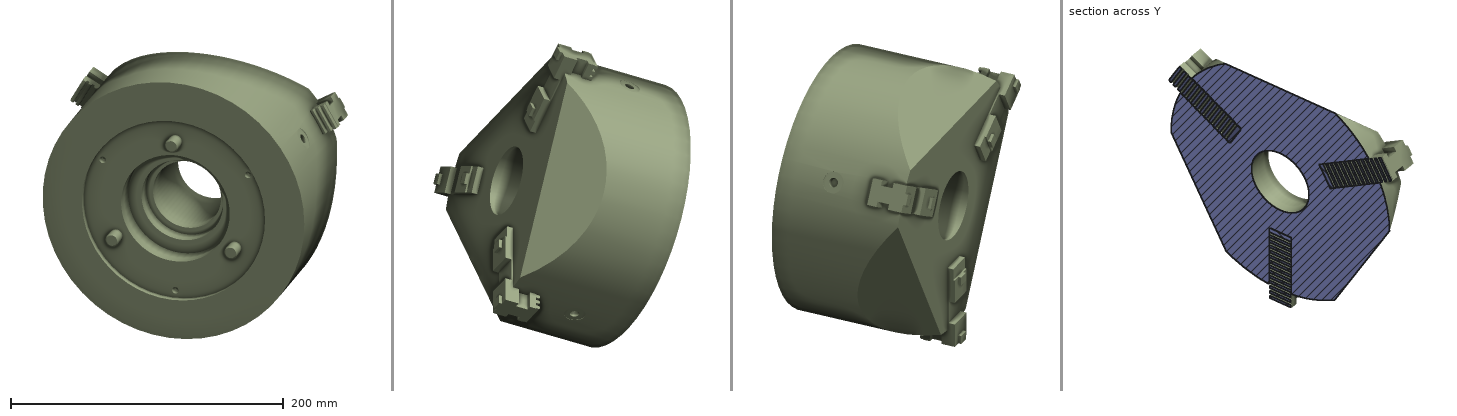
import cadquery as cq


body_radius = 100.0
body_length = 100.0
recess_diameter = 140.0
recess_depth = 5.0
bore_diameters = [83.0, 62.5, 52.0]
bore_step_depths = [18.0, 12.0]
flat_distance = 67.3
flat_length = 35.0

pin_diameter = 10.0
pin_reach = 5.7
pin_chamfer = 0.95
pin_circle_radius = 52.5
hole_diameter = 4.0
hole_depth = 6.4
hole_chamfer = 0.53
hole_circle_radius = 64.1

socket_seat_diameter = 16.0
socket_seat_depth = 0.5
socket_hole_diameter = 7.0
socket_hole_depth = 4.9
socket_height = 43.5

jaw_width = 20.0
jaw_inner_radius = 47.3
jaw_outer_radius = 112.3
front_step_radius = 56.5
saddle_inner_radius = 75.4
saddle_outer_radius = 93.5
front_step_height = 4.7
jaw_height = 6.0
saddle_height = 1.0
jaw_depth = 22.3
guide_groove_top = 4.9
guide_groove_bottom = 14.2
guide_groove_inset = 4.0
key_height = 8.3
key_width = 8.0
key_length = 6.8
tooth_gap = 2.0
tooth_pitch = 4.7
tooth_tip_chamfer = 0.53
tooth_depth = 3.0
outer_gap_radius = 113.0
gap_count = 14

jaw_angles = [30, 150, 270]
between_angles = [90, 210, 330]


def turned(shape, angle):
    """Turn a shape built along +X to an angle about the chuck axis, measured from +X towards +Z."""
    return shape.rotate((0, 0, 0), (0, 1, 0), -angle)


def cylinder_along_y(diameter, start, length, radius=0):
    """A cylinder parallel to the chuck axis, from y = start, at a radius along +X."""
    return cq.Workplane("XZ", origin=(radius, start, 0)).circle(diameter / 2).extrude(-length)


def cylinder_along_x(diameter, start, length, height):
    """A radial cylinder along +X at y = height."""
    return cq.Workplane("YZ", origin=(start, height, 0)).circle(diameter / 2).extrude(length)


def box_between(x_range, y_range, width):
    """A box with the given X and Y ranges, centred on z = 0."""
    x_size = x_range[1] - x_range[0]
    y_size = y_range[1] - y_range[0]
    corner = (x_range[0], y_range[0], -width / 2)
    return cq.Workplane("XY", origin=corner).box(x_size, y_size, width, centered=False)


def make_jaw_core():
    """The part of a jaw below the jaw face, without teeth: it is also the shape of its slot."""
    length_range = (jaw_inner_radius, jaw_outer_radius)
    core = box_between(length_range, (body_length - jaw_depth, body_length), jaw_width)
    groove_range = (body_length - guide_groove_bottom, body_length - guide_groove_top)
    neck = box_between(length_range, groove_range, jaw_width - 2 * guide_groove_inset)
    grooves = box_between(length_range, groove_range, jaw_width).cut(neck)
    return core.cut(grooves)


def make_jaw_top():
    """The stepped part of a jaw above the jaw face, with its two keys."""
    front_y = body_length + front_step_height
    top_y = body_length + jaw_height
    saddle_y = body_length + saddle_height
    top = (
        cq.Workplane("XY", origin=(0, 0, -jaw_width / 2))
        .moveTo(jaw_inner_radius, body_length)
        .lineTo(jaw_inner_radius, front_y)
        .lineTo(front_step_radius, front_y)
        .lineTo(front_step_radius, top_y)
        .lineTo(saddle_inner_radius, top_y)
        .lineTo(saddle_inner_radius, saddle_y)
        .lineTo(saddle_outer_radius, saddle_y)
        .lineTo(saddle_outer_radius, top_y)
        .lineTo(jaw_outer_radius, top_y)
        .lineTo(jaw_outer_radius, body_length)
        .close()
        .extrude(jaw_width)
    )
    for key_start in [front_step_radius, jaw_outer_radius - key_length]:
        key_range = (key_start, key_start + key_length)
        top = top.union(box_between(key_range, (body_length, body_length + key_height), key_width))
    return top


def make_tooth_gaps():
    """Square-bottomed gaps, flared at the mouth, that leave a row of teeth with chamfered tips."""
    tip_y = body_length - jaw_depth
    half_root = tooth_gap / 2
    half_mouth = half_root + tooth_tip_chamfer
    gap = (
        cq.Workplane("XY", origin=(0, tip_y, -jaw_width / 2))
        .moveTo(-half_mouth, 0)
        .lineTo(-half_root, tooth_tip_chamfer)
        .lineTo(-half_root, tooth_depth)
        .lineTo(half_root, tooth_depth)
        .lineTo(half_root, tooth_tip_chamfer)
        .lineTo(half_mouth, 0)
        .close()
        .extrude(jaw_width)
    )
    gaps = cq.Workplane("XY")
    for i in range(gap_count):
        gaps.add(gap.translate((outer_gap_radius - i * tooth_pitch, 0, 0)))
    return gaps.combine()


def make_jaw():
    return make_jaw_core().union(make_jaw_top()).cut(make_tooth_gaps())


def make_stepped_bore():
    """The shallow mounting recess and the bore that narrows in steps behind it."""
    bore = cylinder_along_y(recess_diameter, 0, recess_depth)
    step_start = recess_depth
    for diameter, depth in zip(bore_diameters, bore_step_depths):
        bore = bore.union(cylinder_along_y(diameter, step_start, depth))
        step_start += depth
    return bore.union(cylinder_along_y(bore_diameters[-1], step_start, body_length - step_start))


def make_flat_cutter():
    """A wedge whose sloping face leaves a flat across the jaw-face corner of the body."""
    return (
        cq.Workplane("XY", origin=(0, 0, -body_radius))
        .moveTo(flat_distance, body_length)
        .lineTo(body_radius, body_length - flat_length)
        .lineTo(body_radius, body_length)
        .close()
        .extrude(2 * body_radius)
    )


def make_mounting_pin():
    pin = cylinder_along_y(pin_diameter, -pin_reach, pin_reach + recess_depth, pin_circle_radius)
    return pin.faces("<Y").chamfer(pin_chamfer)


def make_small_hole():
    """A blind hole in the recess floor with a chamfered mouth."""
    hole = cylinder_along_y(hole_diameter, recess_depth, hole_depth, hole_circle_radius)
    hole_radius = hole_diameter / 2
    mouth_radius = hole_radius + hole_chamfer
    inward = cq.Vector(0, 1, 0)
    mouth_centre = cq.Vector(hole_circle_radius, recess_depth, 0)
    mouth = cq.Solid.makeCone(mouth_radius, hole_radius, hole_chamfer, mouth_centre, inward)
    return hole.union(cq.Workplane(mouth))


def make_key_socket():
    """A flat round seat on the rim with a blind hole at its centre."""
    seat_radius = body_radius - socket_seat_depth
    seat = cylinder_along_x(socket_seat_diameter, seat_radius, socket_seat_depth, socket_height)
    hole_start = seat_radius - socket_hole_depth
    return seat.union(cylinder_along_x(socket_hole_diameter, hole_start, socket_hole_depth, socket_height))


def make_body():
    body = cylinder_along_y(2 * body_radius, 0, body_length).cut(make_stepped_bore())
    for angle in jaw_angles:
        for cutter in [make_jaw_core(), make_key_socket(), make_small_hole()]:
            body = body.cut(turned(cutter, angle))
    for angle in between_angles:
        body = body.cut(turned(make_flat_cutter(), angle))
        body = body.union(turned(make_mounting_pin(), angle))
    return body


chuck_body = make_body()
jaws = [turned(make_jaw(), angle).solids().val() for angle in jaw_angles]

result = cq.Compound.makeCompound([chuck_body.solids().val(), *jaws])